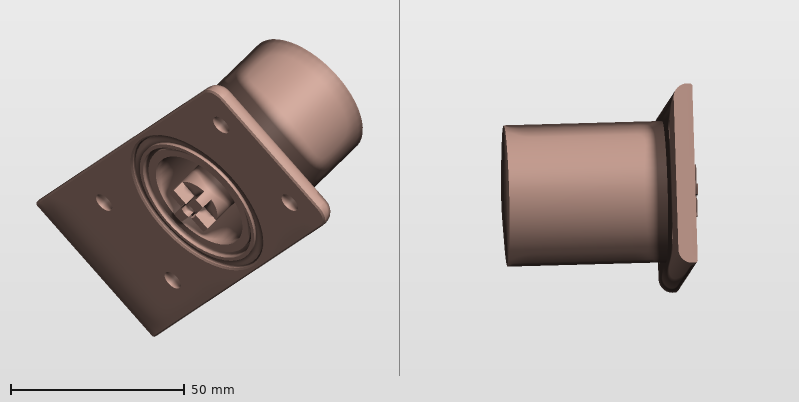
import cadquery as cq

plate_width = 52.0
plate_top = 50.0
plate_bottom = 70.0
plate_thickness = 5.5
corner_radius = 5.0
back_edge_radius = 4.0
front_edge_chamfer = 0.5
screw_hole_diameter = 6.0
screw_spacing_across = 30.0
screw_spacing_along = 80.0

recess_radius = 24.0
recess_depth = plate_thickness / 2
recess_chamfer = 0.5

tube_radius = 20.5
tube_length = 51.4
dome_height = 1.0
flange_clearance = 0.5
flange_radius = recess_radius - flange_clearance
flange_setback = 1.0
rim_outer_radius = 21.1
rim_inner_radius = 19.9
cup_radius = 18.7
cup_setback = 1.0

bore_top_radius = 16.0
bore_floor_radius = 15.1
bore_floor_depth = 46.0
pedestal_radius = 12.9
pedestal_depth = 30.0
post_radius = 7.5
post_base_fillet = 1.0
post_hole_radius = 2.5
rib_width = 3.1
rib_height = 4.0

roll_angle = 30.0
pitch_angle = -3.35
yaw_angle = 12.35

selection_margin = 1.3


def make_plate():
    plate_length = plate_top + plate_bottom
    plate_centre_y = (plate_top - plate_bottom) / 2
    plate = (
        cq.Workplane("XY")
        .center(0, plate_centre_y)
        .rect(plate_width, plate_length)
        .extrude(-plate_thickness)
        .edges("|Z and >Y")
        .fillet(corner_radius)
    )
    rounded_sides = cq.selectors.BoxSelector(
        (-plate_width, -plate_bottom + selection_margin, -2 * plate_thickness),
        (plate_width, 2 * plate_top, plate_thickness),
    )
    plate = plate.faces("<Z").edges(rounded_sides).fillet(back_edge_radius)
    plate = plate.faces(">Z").edges(rounded_sides).chamfer(front_edge_chamfer)
    screw_holes = (
        cq.Workplane("XY")
        .rect(screw_spacing_across, screw_spacing_along, forConstruction=True)
        .vertices()
        .circle(screw_hole_diameter / 2)
        .extrude(-plate_thickness)
    )
    tube_hole = cq.Workplane("XY").circle(tube_radius).extrude(-plate_thickness)
    recess = cq.Workplane("XY").circle(recess_radius).extrude(-recess_depth)
    recess_mouth = (
        cq.Workplane("XY")
        .circle(recess_radius + recess_chamfer)
        .workplane(offset=-recess_chamfer)
        .circle(recess_radius)
        .loft()
    )
    return plate.cut(screw_holes).cut(tube_hole).cut(recess).cut(recess_mouth)


def make_socket_shell():
    """Flange, tube, domed end, rim, slot, bore, pedestal and plain post as one turned shape."""
    profile = (
        cq.Workplane("XZ")
        .lineTo(post_radius, 0)
        .lineTo(post_radius, -pedestal_depth)
        .lineTo(pedestal_radius, -pedestal_depth)
        .lineTo(pedestal_radius, -bore_floor_depth)
        .lineTo(bore_floor_radius, -bore_floor_depth)
        .lineTo(bore_top_radius, -cup_setback)
        .lineTo(cup_radius, -cup_setback)
        .lineTo(cup_radius, -bore_floor_depth)
        .lineTo(rim_inner_radius, -bore_floor_depth)
        .lineTo(rim_inner_radius, 0)
        .lineTo(rim_outer_radius, 0)
        .lineTo(rim_outer_radius, -flange_setback)
        .lineTo(flange_radius, -flange_setback)
        .lineTo(flange_radius, -recess_depth)
        .lineTo(tube_radius, -recess_depth)
        .lineTo(tube_radius, -tube_length)
    )
    dome_sphere_radius = (tube_radius**2 + dome_height**2) / (2 * dome_height)
    profile = profile.radiusArc((0, -tube_length - dome_height), dome_sphere_radius).close()
    shell = profile.revolve(360, (0, 0, 0), (0, 1, 0))
    foot_reach = post_radius + selection_margin
    post_foot = cq.selectors.BoxSelector(
        (-foot_reach, -foot_reach, -pedestal_depth - selection_margin),
        (foot_reach, foot_reach, -pedestal_depth + selection_margin),
        boundingbox=True,
    )
    return shell.edges(post_foot).fillet(post_base_fillet)


def make_socket():
    shell = make_socket_shell()
    ribs = (
        cq.Workplane("XY")
        .rect(2 * post_radius, rib_width)
        .extrude(rib_height)
        .union(cq.Workplane("XY").rect(rib_width, 2 * post_radius).extrude(rib_height))
        .intersect(cq.Workplane("XY").circle(post_radius).extrude(rib_height))
    )
    post_hole = (
        cq.Workplane("XY")
        .workplane(offset=rib_height)
        .circle(post_hole_radius)
        .extrude(-rib_height - pedestal_depth)
    )
    return shell.union(ribs).cut(post_hole)


def turn(body):
    return (
        body.rotate((0, 0, 0), (1, 0, 0), 90)
        .rotate((0, 0, 0), (0, 1, 0), roll_angle)
        .rotate((0, 0, 0), (1, 0, 0), pitch_angle)
        .rotate((0, 0, 0), (0, 0, 1), yaw_angle)
    )


plate = turn(make_plate())
socket = turn(make_socket())
result = cq.Compound.makeCompound([plate.val(), socket.val()])